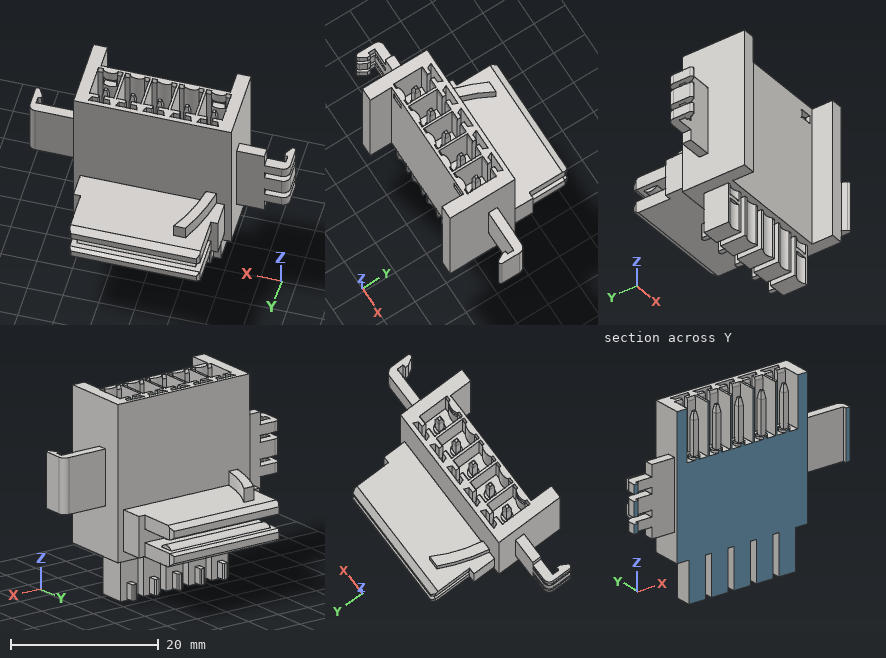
import cadquery as cq

housing_width = 22.12
housing_depth = 10.45
housing_bottom = 6.57
top = 29.2
side_wall = 2.0
recess_depth = 3.43

contacts = 5
pitch = 3.8
contact_y = 6.42
contact_x = [(i - (contacts - 1) / 2) * pitch for i in range(contacts)]
end_contact_x = [contact_x[0], contact_x[-1]]

post_width = 2.9
post_front = 4.2
post_back = 8.3
groove_width = 2.05
groove_depth = 0.35
latch_bar_bottom = 4.3
latch_bar_height = 0.65
key_bottom = 0.22
key_height = 2.35
key_depth = 1.3
key_chamfer = 0.2

socket_floor = 21.17
socket_width = 3.43
socket_front = 4.12
socket_back = 8.43
front_rim_spread = 0.25
back_rim_spread = 0.1
rim_height = 0.5
ridge_top = 4.4
neck_width = 0.75
slot_front = 9.1
slot_back = 9.8
slot_front_width = 2.4
slot_back_width = 3.0
window_width = 1.82
window_bottom = 26.45
window_height = 1.25

pin_width = 0.85
pin_shoulder = 26.95
pin_tip = 28.1
pin_tip_width = 0.4
collar_diameter = 1.6
collar_height = 0.35

block_width = 20.22
block_back = 13.95
block_bottom = 8.03
block_top = 13.98
tongue_width = 18.25
tongue_back = 20.25
tongue_thickness = 2.0
outer_bevel_length = 1.0
outer_bevel_height = 0.65
inner_bevel_length = 0.6
inner_bevel_height = 0.33
corner_length = 0.6
corner_width = 0.33
bump_y = 17.8
bump_length = 2.2
bump_height = 0.55
bump_inset = 0.8

fin_height = 1.97
fin_back = 17.52
fin_left = (-8.98, -8.03, -6.55)
fin_right = (-7.52, -6.57, -4.9)

left_reach = 18.32
right_reach = 18.18
latch_back = 7.6
arm_thickness = 1.42
hook_thickness = 0.75
barb_reach = 1.25
barb_shelf = 2.4
barb_edge = 2.92
hook_side_length = 3.8
hook_length = 4.1
hook_tip_width = 0.7
hook_tip_bulge = 0.22
hook_corner = 1.0
left_plate_reach = 14.93
left_plate_bottom = 11.15
left_plate_height = 11.05
left_fingers = ((12.9, 1.55), (15.4, 2.4), (18.8, 1.55))
right_arm_bottom = 13.95
right_arm_height = 8.15

overlap = 0.35


def box(x_min, x_max, y_min, y_max, z_min, z_max):
    """Box given by its limits."""
    return cq.Workplane("XY").box(
        x_max - x_min, y_max - y_min, z_max - z_min, centered=False
    ).translate((x_min, y_min, z_min))


def wide_box(x, width, y_min, y_max, z_min, z_max):
    """Box centred on x."""
    return box(x - width / 2, x + width / 2, y_min, y_max, z_min, z_max)


def arched_bar(x, y, sagitta, z_min, z_max):
    """Vertical bar with a flat front at y and a round back."""
    return (
        cq.Workplane("XY", origin=(x, y, z_min))
        .moveTo(-groove_width / 2, 0)
        .threePointArc((0, sagitta), (groove_width / 2, 0))
        .close()
        .extrude(z_max - z_min)
    )


def housing():
    body = wide_box(0, housing_width, 0, housing_depth, housing_bottom, top)
    recess = wide_box(0, housing_width - 2 * side_wall, 0, recess_depth, housing_bottom, top)
    return body.cut(recess)


def socket(x):
    """Rectangular chamber with a flared rim, a guide ridge and a keyed dovetail slot behind."""
    chamber = wide_box(x, socket_width, socket_front, socket_back, socket_floor, top)
    flare = (
        cq.Workplane("YZ", origin=(x, 0, 0))
        .polyline([
            (socket_front, top - rim_height),
            (socket_back, top - rim_height),
            (socket_back + back_rim_spread, top),
            (socket_front - front_rim_spread, top),
        ])
        .close()
        .extrude(socket_width / 2, both=True)
    )
    ridge = arched_bar(x, socket_front, ridge_top - socket_front, socket_floor, top)
    ridge_base = wide_box(
        x, groove_width, socket_front - front_rim_spread, socket_front, socket_floor, top
    )
    neck = wide_box(x, neck_width, socket_back, slot_front, socket_floor, top)
    slot = (
        cq.Workplane("XY", origin=(x, 0, socket_floor))
        .polyline([
            (-slot_front_width / 2, slot_front),
            (slot_front_width / 2, slot_front),
            (slot_back_width / 2, slot_back),
            (-slot_back_width / 2, slot_back),
        ])
        .close()
        .extrude(top - socket_floor)
    )
    return chamber.union(flare).cut(ridge).cut(ridge_base).union(neck).union(slot)


def window(x):
    """Latch window through the front wall of a socket."""
    return wide_box(
        x, window_width, recess_depth, contact_y - pin_width / 2, window_bottom, window_bottom + window_height
    )


def pin(x):
    """Square pin with a tapered tip, standing on a round collar."""
    base = cq.Workplane("XY", origin=(x, contact_y, socket_floor - overlap))
    collar = base.circle(collar_diameter / 2).extrude(collar_height + overlap)
    shaft = base.rect(pin_width, pin_width).extrude(pin_shoulder - socket_floor + overlap)
    tip = (
        cq.Workplane("XY", origin=(x, contact_y, pin_shoulder))
        .rect(pin_width, pin_width)
        .workplane(offset=pin_tip - pin_shoulder)
        .rect(pin_tip_width, pin_tip_width)
        .loft(ruled=True)
    )
    return collar.union(shaft).union(tip)


def post(x):
    """Plug post with a round front groove and a coding key on its back."""
    body = wide_box(x, post_width, post_front, post_back, 0, housing_bottom + overlap)
    body = body.cut(arched_bar(x, post_front, groove_depth, 0, housing_bottom))
    key = wide_box(
        x, neck_width, post_back - overlap, post_back + key_depth, key_bottom, key_bottom + key_height
    )
    key = key.faces(">Y").edges("|Z").chamfer(key_chamfer)
    return body.union(key)


def latch_bar(x):
    """Bar that closes the groove of an end post flush with its front."""
    return arched_bar(
        x, post_front, groove_depth, latch_bar_bottom, latch_bar_bottom + latch_bar_height
    )


def upper_tongue():
    """Tongue with a bevelled, corner-cut end and a round bump underneath."""
    bottom = block_top - tongue_thickness
    start = block_back - overlap
    profile = (
        cq.Workplane("YZ")
        .polyline([
            (start, bottom),
            (tongue_back - inner_bevel_length, bottom),
            (tongue_back, bottom + inner_bevel_height),
            (tongue_back, block_top - outer_bevel_height),
            (tongue_back - outer_bevel_length, block_top),
            (start, block_top),
        ])
        .close()
        .extrude(tongue_width / 2, both=True)
    )
    half = tongue_width / 2
    plan = (
        cq.Workplane("XY", origin=(0, 0, bottom))
        .polyline([
            (-half, start),
            (half, start),
            (half, tongue_back - corner_length),
            (half - corner_width, tongue_back),
            (corner_width - half, tongue_back),
            (-half, tongue_back - corner_length),
        ])
        .close()
        .extrude(tongue_thickness)
    )
    bump = (
        cq.Workplane("YZ")
        .moveTo(bump_y - bump_length / 2, bottom)
        .threePointArc((bump_y, bottom - bump_height), (bump_y + bump_length / 2, bottom))
        .close()
        .extrude(half - bump_inset, both=True)
    )
    return profile.intersect(plan).union(bump)


def rear_connector():
    """Block behind the housing carrying two mirrored tongues."""
    block = wide_box(
        0, block_width, housing_depth - overlap, block_back, block_bottom, block_top
    )
    upper = upper_tongue()
    lower = upper.mirror("XY", (0, 0, (block_bottom + block_top) / 2))
    return block.union(upper).union(lower)


def fin():
    """Curved fin rising from the upper tongue."""
    middle = (housing_depth + fin_back) / 2
    return (
        cq.Workplane("XY", origin=(0, 0, block_top))
        .moveTo(fin_left[0], housing_depth)
        .threePointArc((fin_left[1], middle), (fin_left[2], fin_back))
        .lineTo(fin_right[2], fin_back)
        .threePointArc((fin_right[1], middle), (fin_right[0], housing_depth))
        .close()
        .extrude(fin_height)
    )


def latch_arm(reach, z_min, height):
    """Left arm ending in a forward hook with an inward barb."""
    root = reach - housing_width / 2 + overlap
    outer_corner = cq.NearestToPointSelector((-reach, latch_back, z_min + height / 2))
    return (
        cq.Workplane("XY", origin=(-reach, latch_back, z_min))
        .moveTo(root, 0)
        .lineTo(0, 0)
        .lineTo(0, -hook_side_length)
        .threePointArc((hook_tip_width / 2, -hook_length), (hook_tip_width, hook_tip_bulge - hook_length))
        .lineTo(barb_reach, -barb_edge)
        .lineTo(barb_reach, -barb_shelf)
        .lineTo(hook_thickness, -barb_shelf)
        .lineTo(hook_thickness, -arm_thickness)
        .lineTo(root, -arm_thickness)
        .close()
        .extrude(height)
        .edges(outer_corner)
        .fillet(hook_corner)
    )


result = housing().union(rear_connector()).union(fin())
for x in contact_x:
    result = result.cut(socket(x))
for x in end_contact_x:
    result = result.cut(window(x))
for x in contact_x:
    result = result.union(pin(x)).union(post(x))
for x in end_contact_x:
    result = result.union(latch_bar(x))

left_plate = box(
    -left_plate_reach, overlap - housing_width / 2, latch_back - arm_thickness, latch_back,
    left_plate_bottom, left_plate_bottom + left_plate_height,
)
result = result.union(left_plate)
for finger_bottom, finger_height in left_fingers:
    result = result.union(latch_arm(left_reach, finger_bottom, finger_height))
result = result.union(latch_arm(right_reach, right_arm_bottom, right_arm_height).mirror("YZ"))